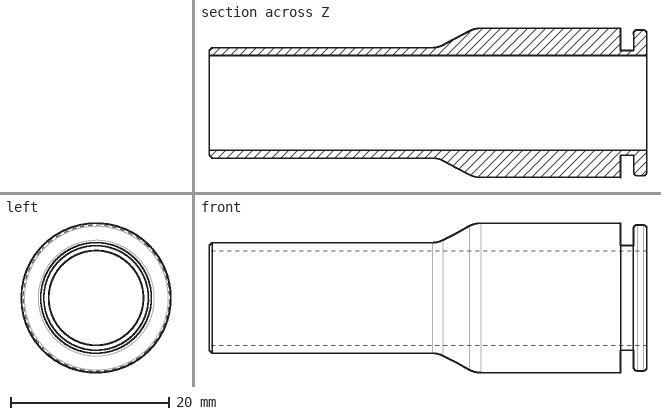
import cadquery as cq
import math

total_length = 55.35
stem_length = 28.25
body_end = 52.05
collar_width = 1.7
collar_start = total_length - collar_width

bore_radius = 6.0
stem_diameter = 14.0
stem_radius = stem_diameter / 2
body_radius = 9.45
neck_radius = 6.65
collar_radius = 9.25

stem_chamfer = 0.4
collar_round = 0.5

cone_angle = math.radians(28)
concave_length = 1.35
convex_length = 1.5
concave_rise = concave_length * math.tan(cone_angle / 2)
convex_rise = convex_length * math.tan(cone_angle / 2)
cone_rise = body_radius - stem_radius - concave_rise - convex_rise
cone_start = stem_length + concave_length
cone_end = cone_start + cone_rise / math.tan(cone_angle)
body_start = cone_end + convex_length


def revolve_about_x(profile):
    return profile.close().revolve(360, (0, 0, 0), (1, 0, 0))


def make_outer_body():
    """Stem, flare, main body and the narrow neck that carries the collar."""
    profile = (
        cq.Workplane("XY")
        .moveTo(0, 0)
        .lineTo(0, stem_radius - stem_chamfer)
        .lineTo(stem_chamfer, stem_radius)
        .lineTo(stem_length, stem_radius)
        .tangentArcPoint((cone_start, stem_radius + concave_rise), relative=False)
        .lineTo(cone_end, body_radius - convex_rise)
        .tangentArcPoint((body_start, body_radius), relative=False)
        .lineTo(body_end, body_radius)
        .lineTo(body_end, neck_radius)
        .lineTo(total_length, neck_radius)
        .lineTo(total_length, 0)
    )
    return revolve_about_x(profile)


def make_collar():
    """Release collar with both rim edges rounded."""
    collar = cq.Workplane("YZ", origin=(collar_start, 0, 0)).circle(collar_radius).extrude(collar_width)
    return collar.edges().fillet(collar_round)


bore = cq.Workplane("YZ").circle(bore_radius).extrude(total_length)

result = make_outer_body().union(make_collar()).cut(bore)